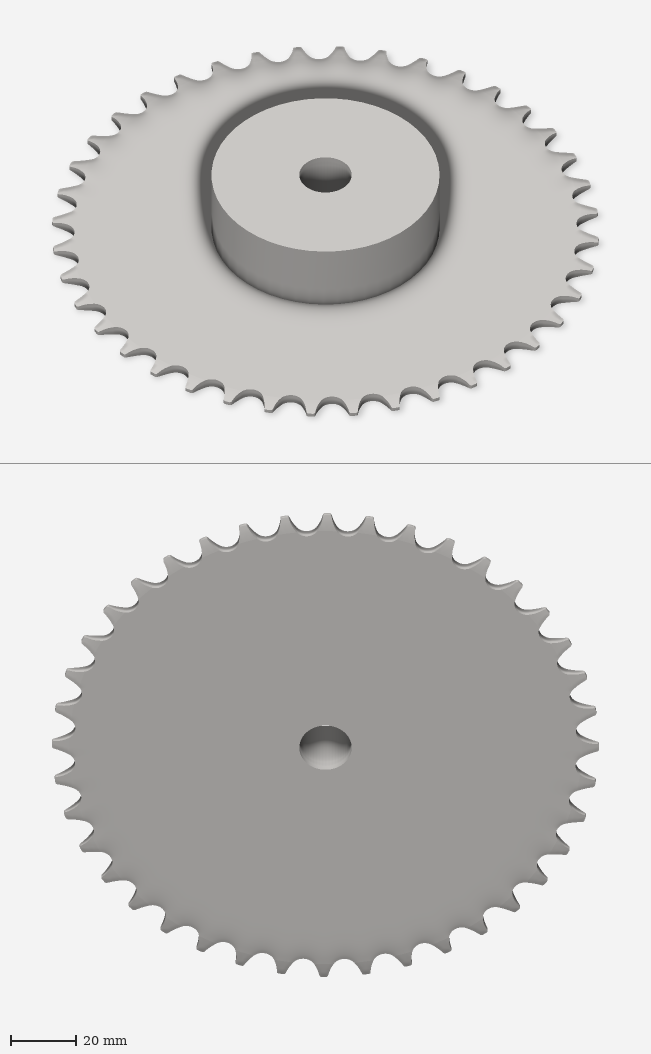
import cadquery as cq
import math

tooth_count = 40
overall_width = 167.4
pitch_diameter = 161.9
roller_diameter = 7.9
plate_thickness = 3.0
hub_diameter = 70.0
total_height = 25.0
bore_diameter = 16.0

tip_rise = 0.2

seat_half_angle = math.radians(56)
flank_radius = 13.4
tip_corner_radius = 0.7

bevel_start_radius = 78.7
bevel_depth = 0.92
bevel_bulge = 0.2

outer_radius = overall_width / 2 + tip_rise
pitch_radius = pitch_diameter / 2
seat_radius = roller_diameter / 2
tooth_angle = 2 * math.pi / tooth_count

flank_offset = flank_radius - seat_radius
flank_centre_x = pitch_radius + flank_offset * math.cos(seat_half_angle)
flank_centre_y = -flank_offset * math.sin(seat_half_angle)


def turned(point, angle):
    """Point turned about the Z axis."""
    x, y = point
    return (
        x * math.cos(angle) - y * math.sin(angle),
        x * math.sin(angle) + y * math.cos(angle),
    )


def mirrored(point):
    """Point mirrored across the X axis, the centre line of the first gap."""
    return point[0], -point[1]


def on_flank(flank_angle):
    """Point of the flank arc beside the first gap, at an angle from the inward centre line."""
    return (
        flank_centre_x - flank_radius * math.cos(flank_angle),
        flank_centre_y + flank_radius * math.sin(flank_angle),
    )


def flank_tip_angle():
    """Flank angle at the outer circle, by the cosine rule on the part and flank centres."""
    distance = math.hypot(flank_centre_x, flank_centre_y)
    corner = math.acos(
        (distance**2 + flank_radius**2 - outer_radius**2) / (2 * distance * flank_radius)
    )
    return corner - math.atan2(flank_centre_y, flank_centre_x)


def toothed_blank():
    """Flat plate with the full tooth outline and rounded tip corners."""
    tip_angle = flank_tip_angle()
    seat_end = on_flank(seat_half_angle)
    flank_middle = on_flank((seat_half_angle + tip_angle) / 2)
    flank_tip = on_flank(tip_angle)
    tip_middle = turned((outer_radius, 0), tooth_angle / 2)
    seat_bottom = (pitch_radius - seat_radius, 0)

    outline = cq.Workplane("XY").moveTo(*mirrored(flank_tip))
    for i in range(tooth_count):
        angle = i * tooth_angle
        arcs = [
            (mirrored(flank_middle), mirrored(seat_end)),
            (seat_bottom, seat_end),
            (flank_middle, flank_tip),
            (tip_middle, turned(mirrored(flank_tip), tooth_angle)),
        ]
        for middle, end in arcs:
            outline = outline.threePointArc(turned(middle, angle), turned(end, angle))
    blank = outline.close().extrude(plate_thickness)

    def is_tip_corner(edge):
        centre = edge.Center()
        return math.hypot(centre.x, centre.y) > outer_radius - tip_corner_radius

    return blank.edges("|Z").filter(is_tip_corner).fillet(tip_corner_radius)


def bevelled_disc():
    """Disc whose rim thins towards the edge on both faces along convex curves."""
    middle_radius = (bevel_start_radius + outer_radius) / 2
    middle_depth = bevel_depth / 2 - bevel_bulge
    top = plate_thickness
    return (
        cq.Workplane("XZ")
        .lineTo(bevel_start_radius, 0)
        .threePointArc((middle_radius, middle_depth), (outer_radius, bevel_depth))
        .lineTo(outer_radius, top - bevel_depth)
        .threePointArc((middle_radius, top - middle_depth), (bevel_start_radius, top))
        .lineTo(0, top)
        .close()
        .revolve(360, (0, 0, 0), (0, 1, 0))
    )


hub = cq.Workplane("XY").circle(hub_diameter / 2).extrude(total_height)
bore = cq.Workplane("XY").circle(bore_diameter / 2).extrude(total_height)
result = toothed_blank().intersect(bevelled_disc()).union(hub).cut(bore)